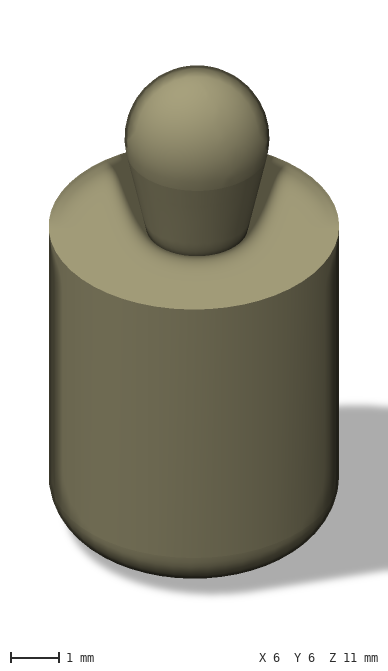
import cadquery as cq
import math

total_height = 11.0
body_diameter = 6.0
body_height = 7.26
bottom_fillet = 1.0
ball_radius = 1.5
neck_half_angle = math.radians(12.0)
pin_offset_x = 0.05
pin_offset_y = 0.04

ball_center_z = total_height - ball_radius
tangent_radius = ball_radius * math.cos(neck_half_angle)
tangent_z = ball_center_z - ball_radius * math.sin(neck_half_angle)
neck_base_radius = tangent_radius - (tangent_z - body_height) * math.tan(neck_half_angle)


def make_body():
    """Cylinder standing on Z = 0 with a rounded bottom edge."""
    body = cq.Workplane("XY").circle(body_diameter / 2).extrude(body_height)
    return body.faces("<Z").edges().fillet(bottom_fillet)


def make_pin():
    """Ball-ended pin: a flared neck running smoothly into a ball."""
    profile = (
        cq.Workplane("XZ")
        .moveTo(0, body_height)
        .lineTo(neck_base_radius, body_height)
        .lineTo(tangent_radius, tangent_z)
        .tangentArcPoint((0, total_height), relative=False)
        .close()
    )
    pin = profile.revolve(360, (0, 0, 0), (0, 1, 0))
    return pin.translate((pin_offset_x, pin_offset_y, 0))


result = make_body().union(make_pin())